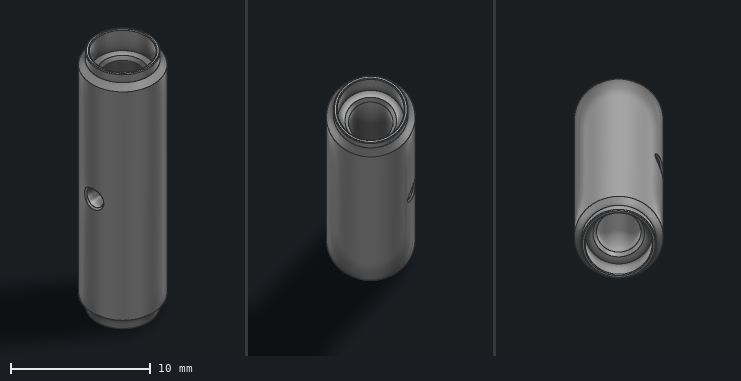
import cadquery as cq

length = 23.47
body_diameter = 6.35
neck_diameter = 5.35
neck_length = 0.8
shoulder_height = 0.45
rim_chamfer = 0.07

bore_diameter = 3.17
bore_chamfer = 0.25
counterbore_diameter = 4.79
counterbore_depth = 1.92

cross_hole_diameter = 1.6
cross_hole_chamfer = 0.15

half_length = length / 2
body_radius = body_diameter / 2
neck_radius = neck_diameter / 2
bore_radius = bore_diameter / 2
counterbore_radius = counterbore_diameter / 2


def make_sleeve():
    """Revolve the wall section, whose lower half mirrors its upper half."""
    neck_base = half_length - neck_length
    counterbore_floor = half_length - counterbore_depth
    upper_profile = [
        (body_radius, neck_base - shoulder_height),
        (neck_radius, neck_base),
        (neck_radius, half_length - rim_chamfer),
        (neck_radius - rim_chamfer, half_length),
        (counterbore_radius + rim_chamfer, half_length),
        (counterbore_radius, half_length - rim_chamfer),
        (counterbore_radius, counterbore_floor),
        (bore_radius + bore_chamfer, counterbore_floor),
        (bore_radius, counterbore_floor - bore_chamfer),
    ]
    lower_profile = [(radius, -height) for radius, height in reversed(upper_profile)]
    return (
        cq.Workplane("XZ")
        .polyline(upper_profile + lower_profile)
        .close()
        .revolve(360, (0, 0, 0), (0, 1, 0))
    )


def add_cross_hole(sleeve):
    """Drill through along Y and chamfer both outer mouths evenly along their rims."""
    drill = cq.Workplane("XZ").circle(cross_hole_diameter / 2).extrude(body_radius, both=True)
    drilled = sleeve.cut(drill)
    hole_radius = cross_hole_diameter / 2
    inner_limit = (body_radius + bore_radius) / 2
    for side in (-1, 1):
        near, far = sorted((side * inner_limit, side * body_diameter))
        mouth = cq.selectors.BoxSelector(
            (-2 * hole_radius, near, -2 * hole_radius),
            (2 * hole_radius, far, 2 * hole_radius),
            boundingbox=True,
        )
        drilled = drilled.edges(mouth).chamfer(cross_hole_chamfer)
    return drilled


result = add_cross_hole(make_sleeve())